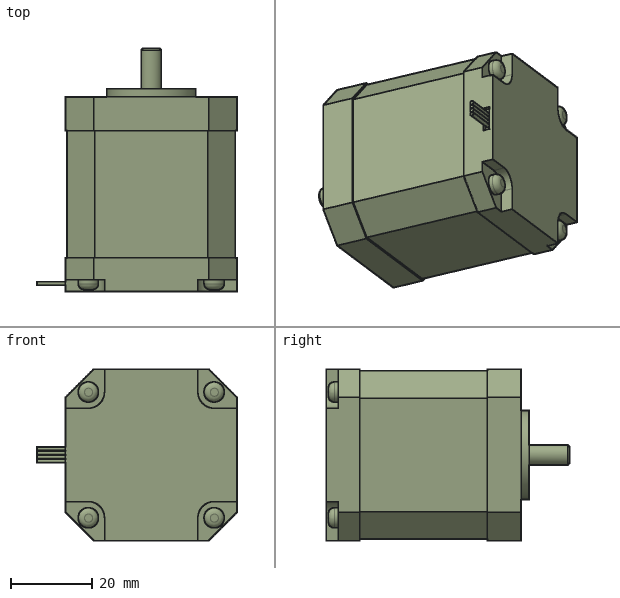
import cadquery as cq


frame_width = 42.3
frame_chamfer = 7.0
body_length = 48.0
end_cap_length = 8.3
stack_inset = 0.4
stack_width = frame_width - 2 * stack_inset
stack_chamfer = 6.8
rear_face_y = -body_length
side_face_x = -frame_width / 2

pilot_diameter = 22.0
pilot_height = 2.0
shaft_diameter = 5.0
shaft_length = 10.0
shaft_chamfer = 0.5

recess_size = 9.65
recess_depth = 3.0
recess_radius = 4.0
screw_offset = 15.5
screw_head_diameter = 5.0
screw_head_height = 2.5
screw_head_radius = 1.5

outlet_height = 6.0
outlet_width = 1.7
outlet_depth = 1.0
outlet_edge_distance = 1.0
wire_count = 4
wire_diameter = 0.95
wire_pitch = 1.0
wire_rear_distance = 2.0
wire_reach = 7.0

corner_signs = [(sx, sz) for sx in (-1, 1) for sz in (-1, 1)]


def chamfered_block(width, chamfer, start_y, end_y):
    """Square block along Y with its four long edges chamfered."""
    length = end_y - start_y
    block = cq.Workplane("XY").box(width, length, width)
    return block.edges("|Y").chamfer(chamfer).translate((0, start_y + length / 2, 0))


def cylinder_along_y(diameter, start_y, length):
    """Cylinder on the motor axis, growing toward +Y, or toward -Y if the length is negative."""
    plane = cq.Workplane("XZ", origin=(0, start_y, 0))
    return plane.circle(diameter / 2).extrude(-length)


def make_body():
    front_inner_y = -end_cap_length
    rear_inner_y = rear_face_y + end_cap_length
    front_cap = chamfered_block(frame_width, frame_chamfer, front_inner_y, 0)
    stack = chamfered_block(stack_width, stack_chamfer, rear_inner_y, front_inner_y)
    rear_cap = chamfered_block(frame_width, frame_chamfer, rear_face_y, rear_inner_y)
    return front_cap.union(stack).union(rear_cap)


def make_shaft():
    pilot = cylinder_along_y(pilot_diameter, 0, pilot_height)
    shaft = cylinder_along_y(shaft_diameter, pilot_height, shaft_length)
    return pilot.union(shaft.faces(">Y").chamfer(shaft_chamfer))


def corner_recess(sign_x, sign_z):
    """Cutter for one corner: a block with rounded edges along Y, centred on the frame corner."""
    corner = frame_width / 2
    block = cq.Workplane("XY").box(2 * recess_size, recess_depth, 2 * recess_size)
    block = block.edges("|Y").fillet(recess_radius)
    return block.translate((sign_x * corner, rear_face_y + recess_depth / 2, sign_z * corner))


def screw_head(sign_x, sign_z):
    """Domed screw head standing on the recess floor, pointing to -Y."""
    floor_y = rear_face_y + recess_depth
    head = cylinder_along_y(screw_head_diameter, floor_y, -screw_head_height)
    head = head.faces("<Y").edges().fillet(screw_head_radius)
    return head.translate((sign_x * screw_offset, 0, sign_z * screw_offset))


def wire_outlet():
    """Cutter for the shallow rectangular pocket the wires come out of."""
    pocket = cq.Workplane("XY").box(outlet_depth, outlet_width, outlet_height)
    centre_y = rear_face_y + outlet_edge_distance + outlet_width / 2
    return pocket.translate((side_face_x + outlet_depth / 2, centre_y, 0))


def wire(index):
    """One straight wire running from the pocket floor out to -X."""
    z = (index - (wire_count - 1) / 2) * wire_pitch
    origin = (side_face_x + outlet_depth, rear_face_y + wire_rear_distance, z)
    plane = cq.Workplane("YZ", origin=origin)
    return plane.circle(wire_diameter / 2).extrude(-(outlet_depth + wire_reach))


result = make_body().union(make_shaft()).cut(wire_outlet())

for sign_x, sign_z in corner_signs:
    result = result.cut(corner_recess(sign_x, sign_z))
    result = result.union(screw_head(sign_x, sign_z))

for index in range(wire_count):
    result = result.union(wire(index))